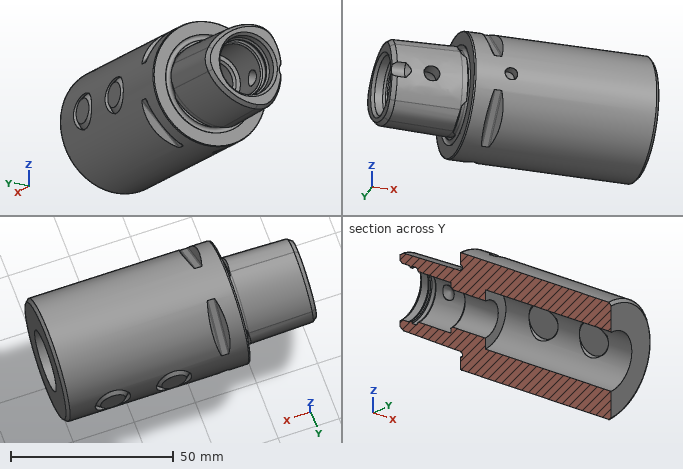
import cadquery as cq
import math

TOTAL_LENGTH = 84.0
FLANGE_X = 24.0
SLEEVE_DIAMETER = 40.0
SLEEVE_RADIUS = SLEEVE_DIAMETER / 2
FLANGE_BEVEL_LENGTH = 0.5
FLANGE_BEVEL_DEPTH = 0.2
REAR_CHAMFER = 1.0

LOBE_SIZE = 0.9
GAUGE_X = 22.35
GAUGE_RADIUS = 14.0
TAPER_PER_SIDE = 1 / 40
NOSE_LENGTH = 1.4
NOSE_DEPTH = 1.0
LOBE_COUNT = 3
LOBE_FACE_ANGLE = 55.0
POINTS_PER_FACE = 16

RELIEF_OUTER_RADIUS = 15.7
RELIEF_START_X = 21.4
NECK_X = 22.7
NECK_START_RADIUS = 14.2
NECK_END_X = 23.7
NECK_END_RADIUS = 13.95
RELIEF_DEPTH = 0.8

MOUTH_RADIUS = 20.6 / 2
MOUTH_LENGTH = 1.0
ENTRY_RADIUS = 9.5
ENTRY_END_X = 3.6
LIP_RADIUS = 18.0 / 2
LIP_START_X = 4.4
LIP_END_X = 4.95
CLAMP_GROOVE_RADIUS = 9.7
CLAMP_GROOVE_END_X = 7.0
CLAMP_GROOVE_FILLET = CLAMP_GROOVE_RADIUS - LIP_RADIUS
INNER_RADIUS = 8.5
INNER_END_X = 20.2
THROUGH_RADIUS = 12.5 / 2
THROUGH_BEVEL = 0.75
TOOL_BORE_RADIUS = 20.0 / 2
TOOL_BORE_X = 34.0

DRILL_TIP_ANGLE = 118.0
NOTCH_DIAMETER = 5.7
NOTCH_LENGTH = 4.2
NOTCH_AXIS_Y = -13.9
NOTCH_TIP_ANGLE = 90.0
CROSS_HOLE_DIAMETER = 5.0
CROSS_HOLE_X = 12.5
CROSS_HOLE_END_Y = 8.3
DIMPLE_DIAMETER = 4.0
DIMPLE_X = 35.95
DIMPLE_DEPTH = 3.4

GRIP_GROOVE_X = 31.9
GRIP_GROOVE_FLOOR = 17.6
GRIP_GROOVE_FLOOR_WIDTH = 2.4
GRIP_GROOVE_FILLET = 0.4
GRIP_GROOVE_SIDE_ANGLE = 30.0
GRIP_GROOVE_COUNT = 4
GRIP_GROOVE_FIRST_ANGLE = 45.0

SCREW_DIAMETER = 11.5
SCREW_TOP_DIAMETER = 8.1
SCREW_XS = (49.0, 69.0)


def lobe_point(x, mean_radius, angle):
    """Point of the constant-width polygon; the angle is measured from a lobe on +Y."""
    y = (mean_radius * math.cos(angle)
         + 2 * LOBE_SIZE * math.cos(2 * angle)
         - LOBE_SIZE * math.cos(4 * angle))
    z = (mean_radius * math.sin(angle)
         - 2 * LOBE_SIZE * math.sin(2 * angle)
         - LOBE_SIZE * math.sin(4 * angle))
    return cq.Vector(x, y, z)


def lobe_curve(x, mean_radius, start, end):
    """Stretch of the polygon between two angles in degrees."""
    step = (end - start) / POINTS_PER_FACE
    angles = [math.radians(start + step * i) for i in range(POINTS_PER_FACE + 1)]
    return cq.Edge.makeSpline([lobe_point(x, mean_radius, a) for a in angles])


def lobe_outline(x, mean_radius):
    """Closed polygon outline in the plane at x, one curve per lobe or flat."""
    pitch = 360 / LOBE_COUNT
    edges = []
    for lobe in range(LOBE_COUNT):
        lobe_start = lobe * pitch - LOBE_FACE_ANGLE / 2
        flat_start = lobe_start + LOBE_FACE_ANGLE
        edges.append(lobe_curve(x, mean_radius, lobe_start, flat_start))
        edges.append(lobe_curve(x, mean_radius, flat_start, lobe_start + pitch))
    return cq.Wire.assembleEdges(edges)


def shank_solid():
    """Bevelled nose, 1:20 taper and straight foot, with the foot turned down to a neck."""
    nose_radius = GAUGE_RADIUS - TAPER_PER_SIDE * (GAUGE_X - NOSE_LENGTH)
    foot_x = FLANGE_X + RELIEF_DEPTH
    sections = [
        lobe_outline(0, nose_radius - NOSE_DEPTH),
        lobe_outline(NOSE_LENGTH, nose_radius),
        lobe_outline(GAUGE_X, GAUGE_RADIUS),
        lobe_outline(foot_x, GAUGE_RADIUS),
    ]
    return cq.Workplane(obj=cq.Solid.makeLoft(sections, True))


def turned(profile):
    """Solid of revolution about the X axis from a profile of (x, radius) points."""
    return cq.Workplane("XY").polyline(profile).close().revolve(360, (0, 0, 0), (1, 0, 0))


def sleeve_solid():
    return turned([
        (FLANGE_X, 0),
        (FLANGE_X, SLEEVE_RADIUS - FLANGE_BEVEL_DEPTH),
        (FLANGE_X + FLANGE_BEVEL_LENGTH, SLEEVE_RADIUS),
        (TOTAL_LENGTH - REAR_CHAMFER, SLEEVE_RADIUS),
        (TOTAL_LENGTH, SLEEVE_RADIUS - REAR_CHAMFER),
        (TOTAL_LENGTH, 0),
    ])


def relief_groove():
    """Annular cut with a half-round bottom sunk into the flange face."""
    middle_radius = (RELIEF_OUTER_RADIUS + NECK_END_RADIUS) / 2
    return (
        cq.Workplane("XY")
        .moveTo(RELIEF_START_X, RELIEF_OUTER_RADIUS)
        .lineTo(FLANGE_X, RELIEF_OUTER_RADIUS)
        .threePointArc((FLANGE_X + RELIEF_DEPTH, middle_radius), (NECK_END_X, NECK_END_RADIUS))
        .lineTo(NECK_X, NECK_START_RADIUS)
        .close()
        .revolve(360, (0, 0, 0), (1, 0, 0))
    )


def central_bore():
    return turned([
        (0, 0),
        (0, MOUTH_RADIUS),
        (MOUTH_LENGTH, ENTRY_RADIUS),
        (ENTRY_END_X, ENTRY_RADIUS),
        (LIP_START_X, LIP_RADIUS),
        (LIP_END_X, LIP_RADIUS),
        (LIP_END_X, INNER_RADIUS),
        (INNER_END_X, INNER_RADIUS),
        (INNER_END_X, THROUGH_RADIUS + THROUGH_BEVEL),
        (INNER_END_X + THROUGH_BEVEL, THROUGH_RADIUS),
        (TOOL_BORE_X, THROUGH_RADIUS),
        (TOOL_BORE_X, TOOL_BORE_RADIUS),
        (TOTAL_LENGTH, TOOL_BORE_RADIUS),
        (TOTAL_LENGTH, 0),
    ])


def clamp_groove():
    """Groove behind the lip of the bore, with a filleted rear corner and a bevelled exit."""
    exit_bevel = LIP_RADIUS - INNER_RADIUS
    fillet_x = CLAMP_GROOVE_END_X - CLAMP_GROOVE_FILLET
    arc_middle = (
        fillet_x + CLAMP_GROOVE_FILLET * math.sin(math.pi / 4),
        LIP_RADIUS + CLAMP_GROOVE_FILLET * math.cos(math.pi / 4),
    )
    return (
        cq.Workplane("XY")
        .moveTo(LIP_END_X, INNER_RADIUS)
        .lineTo(LIP_END_X, CLAMP_GROOVE_RADIUS)
        .lineTo(fillet_x, CLAMP_GROOVE_RADIUS)
        .threePointArc(arc_middle, (CLAMP_GROOVE_END_X, LIP_RADIUS))
        .lineTo(CLAMP_GROOVE_END_X + exit_bevel, INNER_RADIUS)
        .close()
        .revolve(360, (0, 0, 0), (1, 0, 0))
    )


def drill(start, direction, diameter, depth, tip_angle):
    """Drilled hole with a conical end; depth is that of the full diameter."""
    radius = diameter / 2
    tip = radius / math.tan(math.radians(tip_angle / 2))
    origin = cq.Vector(*start)
    axis = cq.Vector(*direction)
    shaft = cq.Solid.makeCylinder(radius, depth, origin, axis)
    cone = cq.Solid.makeCone(radius, 0, tip, origin + axis * depth, axis)
    return cq.Workplane(obj=shaft.fuse(cone))


def end_notch():
    """Notch in the nose, drilled along X partly outside the flat of the shank."""
    return drill((0, NOTCH_AXIS_Y, 0), (1, 0, 0), NOTCH_DIAMETER, NOTCH_LENGTH, NOTCH_TIP_ANGLE)


def cross_hole():
    """Hole through the -Y wall of the shank whose tip marks the opposite wall of the bore."""
    depth = SLEEVE_RADIUS + CROSS_HOLE_END_Y
    start = (CROSS_HOLE_X, -SLEEVE_RADIUS, 0)
    return drill(start, (0, 1, 0), CROSS_HOLE_DIAMETER, depth, DRILL_TIP_ANGLE)


def dimple():
    start = (DIMPLE_X, -SLEEVE_RADIUS, 0)
    return drill(start, (0, 1, 0), DIMPLE_DIAMETER, DIMPLE_DEPTH, DRILL_TIP_ANGLE)


def grip_groove(angle):
    """Straight groove with sloping sides across the sleeve, facing the given angle."""
    depth = SLEEVE_RADIUS - GRIP_GROOVE_FLOOR
    half_floor = GRIP_GROOVE_FLOOR_WIDTH / 2
    half_top = half_floor + depth * math.tan(math.radians(GRIP_GROOVE_SIDE_ANGLE))
    return (
        cq.Workplane("XY")
        .polyline([
            (GRIP_GROOVE_X - half_floor, GRIP_GROOVE_FLOOR),
            (GRIP_GROOVE_X - half_top, SLEEVE_RADIUS),
            (GRIP_GROOVE_X + half_top, SLEEVE_RADIUS),
            (GRIP_GROOVE_X + half_floor, GRIP_GROOVE_FLOOR),
        ])
        .close()
        .extrude(SLEEVE_RADIUS, both=True)
        .faces("<Y")
        .edges("|Z")
        .fillet(GRIP_GROOVE_FILLET)
        .rotate((0, 0, 0), (1, 0, 0), angle)
    )


def radial_plane(x, y):
    return cq.Workplane(cq.Plane(origin=(x, y, 0), xDir=(1, 0, 0), normal=(0, 1, 0)))


def clamping_screw(x):
    """Headless screw from the tool bore to the outside, bevelled at its outer end."""
    bevel = (SCREW_DIAMETER - SCREW_TOP_DIAMETER) / 2
    return (
        radial_plane(x, TOOL_BORE_RADIUS)
        .circle(SCREW_DIAMETER / 2)
        .extrude(SLEEVE_RADIUS - TOOL_BORE_RADIUS)
        .faces(">Y")
        .chamfer(bevel)
    )


def housing_solid():
    body = sleeve_solid().union(shank_solid())
    body = body.cut(relief_groove()).cut(central_bore()).cut(clamp_groove())
    body = body.cut(end_notch()).cut(cross_hole()).cut(dimple())
    for i in range(GRIP_GROOVE_COUNT):
        body = body.cut(grip_groove(GRIP_GROOVE_FIRST_ANGLE + i * 360 / GRIP_GROOVE_COUNT))
    for x in SCREW_XS:
        body = body.cut(radial_plane(x, 0).circle(SCREW_DIAMETER / 2).extrude(SLEEVE_RADIUS))
    return body


housing = housing_solid()
screws = [clamping_screw(x) for x in SCREW_XS]

result = cq.Compound.makeCompound([housing.val(), *[screw.val() for screw in screws]])